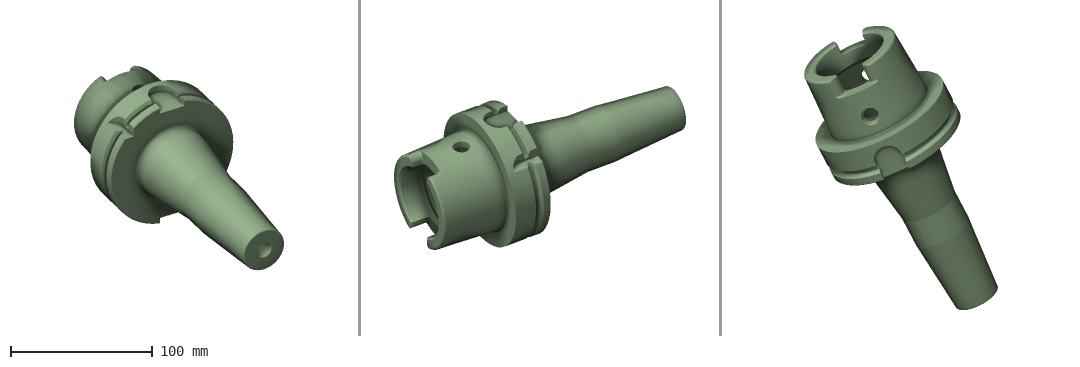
import cadquery as cq
import math


taper_length = 50.0
reach = 160.0

collar_radius = 75.42 / 2
collar_length = 2.6
face_fillet = 1.3
taper_end_radius = 35.45
taper_end_fillet = 2.0

mouth_radius = 53.0 / 2
mouth_chamfer = 1.2
mouth_end = -30.8
cavity_radius = 63.0 / 2
cavity_cone_length = 3.6
cavity_floor = -2.6
cavity_floor_fillet = 6.5

thread_bore_radius = 22.38 / 2
thread_bore_end = 20.0
through_radius = 12.0 / 2

flange_radius = 50.0
flange_width = 29.0
flange_chamfer = 0.7
groove_root_radius = 46.0
groove_centre_x = 19.7
groove_mouth_half_width = 3.2
groove_break_half_width = 1.8
groove_break_radius = 47.6
groove_root_half_width = 1.35

neck_fillet = 2.5
neck_angle = math.radians(8)
land_radius = 42.0 / 2
land_start = 80.0
land_end = 102.6
nose_angle = math.radians(4.5)
tip_fillet = 1.0

drive_slot_half_width = 9.8
drive_slot_corner = 2.0
drive_slot_round = 5.0
drive_slot_shelf = 32.0
top_drive_depth = 9.7
bottom_drive_depth = 14.7

access_diameter = 12.0
access_chamfer = 0.6
access_x = -15.0

cutter_radius = 10.0
keyway_centre_x = 14.7
keyway_floor = 44.0
notch_offset = 31.4

pick_margin = 0.01
pick_clearance = 1.0


def edge_at(x, radius):
    """Selector for the circular edges of the turned profile at the given X, up to the given radius."""
    reach_out = radius + pick_clearance
    return cq.selectors.BoxSelector(
        (x - pick_margin, -reach_out, -reach_out),
        (x + pick_margin, reach_out, reach_out),
        boundingbox=True,
    )


def turned_body():
    neck_radius = land_radius + (land_start - flange_width) * math.tan(neck_angle)
    tip_radius = land_radius - (reach - land_end) * math.tan(nose_angle)
    body = (
        cq.Workplane("XY")
        .moveTo(-taper_length, 0)
        .lineTo(-taper_length, taper_end_radius)
        .lineTo(-collar_length, collar_radius)
        .lineTo(0, collar_radius)
        .lineTo(0, flange_radius)
        .lineTo(groove_centre_x - groove_mouth_half_width, flange_radius)
        .lineTo(groove_centre_x - groove_break_half_width, groove_break_radius)
        .lineTo(groove_centre_x - groove_root_half_width, groove_root_radius)
        .lineTo(groove_centre_x + groove_root_half_width, groove_root_radius)
        .lineTo(groove_centre_x + groove_break_half_width, groove_break_radius)
        .lineTo(groove_centre_x + groove_mouth_half_width, flange_radius)
        .lineTo(flange_width, flange_radius)
        .lineTo(flange_width, neck_radius)
        .lineTo(land_start, land_radius)
        .lineTo(land_end, land_radius)
        .lineTo(reach, tip_radius)
        .lineTo(reach, 0)
        .close()
        .revolve(360, (0, 0, 0), (1, 0, 0))
    )

    body = body.edges(edge_at(-taper_length, taper_end_radius)).fillet(taper_end_fillet)
    body = body.edges(edge_at(0, collar_radius)).fillet(face_fillet)
    body = body.edges(edge_at(flange_width, neck_radius)).fillet(neck_fillet)
    body = body.edges(edge_at(flange_width, flange_radius)).chamfer(flange_chamfer)
    return body.edges(edge_at(reach, tip_radius)).fillet(tip_fillet)


def bores():
    end = -taper_length
    return (
        cq.Workplane("XY")
        .moveTo(end, 0)
        .lineTo(end, mouth_radius + mouth_chamfer)
        .lineTo(end + mouth_chamfer, mouth_radius)
        .lineTo(mouth_end, mouth_radius)
        .lineTo(mouth_end + cavity_cone_length, cavity_radius)
        .lineTo(cavity_floor - cavity_floor_fillet, cavity_radius)
        .radiusArc((cavity_floor, cavity_radius - cavity_floor_fillet), cavity_floor_fillet)
        .lineTo(cavity_floor, thread_bore_radius)
        .lineTo(thread_bore_end, thread_bore_radius)
        .lineTo(thread_bore_end, through_radius)
        .lineTo(reach, through_radius)
        .lineTo(reach, 0)
        .close()
        .revolve(360, (0, 0, 0), (1, 0, 0))
    )


def drive_slot(depth, side):
    """Slot across the end of the taper, opening out to a wide shelf; side is +1 for +Z, -1 for -Z."""
    half = drive_slot_half_width
    bend = drive_slot_shelf - drive_slot_round
    top = flange_radius
    floor_x = depth - taper_length
    section = (
        cq.Workplane("YZ", origin=(-taper_length, 0, 0))
        .moveTo(-half, 0)
        .lineTo(-half, side * bend)
        .radiusArc((-half - drive_slot_round, side * drive_slot_shelf), -side * drive_slot_round)
        .lineTo(-top, side * drive_slot_shelf)
        .lineTo(-top, side * top)
        .lineTo(top, side * top)
        .lineTo(top, side * drive_slot_shelf)
        .lineTo(half + drive_slot_round, side * drive_slot_shelf)
        .radiusArc((half, side * bend), -side * drive_slot_round)
        .lineTo(half, 0)
        .close()
        .extrude(depth)
    )
    floor_edges = cq.selectors.BoxSelector(
        (floor_x - pick_margin, pick_clearance - top, side * pick_clearance),
        (floor_x + pick_margin, top - pick_clearance, side * (top - pick_clearance)),
    )
    return section.edges(floor_edges).fillet(drive_slot_corner).union(drive_slot_mouth(side))


def drive_slot_mouth(side):
    """Flare that rounds the corners between the drive slot walls and the end face of the taper."""
    half = drive_slot_half_width
    corner = drive_slot_corner
    return (
        cq.Workplane("XY")
        .moveTo(-taper_length, -half - corner)
        .radiusArc((-taper_length + corner, -half), corner)
        .lineTo(-taper_length + corner, half)
        .radiusArc((-taper_length, half + corner), corner)
        .close()
        .extrude(side * drive_slot_shelf)
    )


def keyway(centre_y, floor, depth):
    """Flat-floored keyway with a round inner end, open at the nose side of the flange."""
    return (
        cq.Workplane("XY", origin=(keyway_centre_x, centre_y, floor))
        .moveTo(flange_width - keyway_centre_x, -cutter_radius)
        .lineTo(0, -cutter_radius)
        .threePointArc((-cutter_radius, 0), (0, cutter_radius))
        .lineTo(flange_width - keyway_centre_x, cutter_radius)
        .close()
        .extrude(depth)
    )


def access_hole():
    hole = cq.Workplane("XY").center(access_x, 0).circle(access_diameter / 2)
    return hole.extrude(flange_radius, both=True)


def access_rim(side):
    """Region around the outer mouth of the access hole; side is +1 for +Z, -1 for -Z."""
    return cq.selectors.BoxSelector(
        (access_x - access_diameter, -access_diameter, side * (cavity_radius + pick_clearance)),
        (access_x + access_diameter, access_diameter, side * collar_radius),
    )


result = turned_body().cut(bores())

for side, depth in ((1, top_drive_depth), (-1, bottom_drive_depth)):
    result = result.cut(drive_slot(depth, side))
    result = result.cut(keyway(0, side * keyway_floor, side * (flange_radius - keyway_floor)))

result = result.cut(keyway(-notch_offset - cutter_radius, notch_offset, flange_radius - notch_offset))

result = result.cut(access_hole())
for side in (1, -1):
    result = result.edges(access_rim(side)).chamfer(access_chamfer)